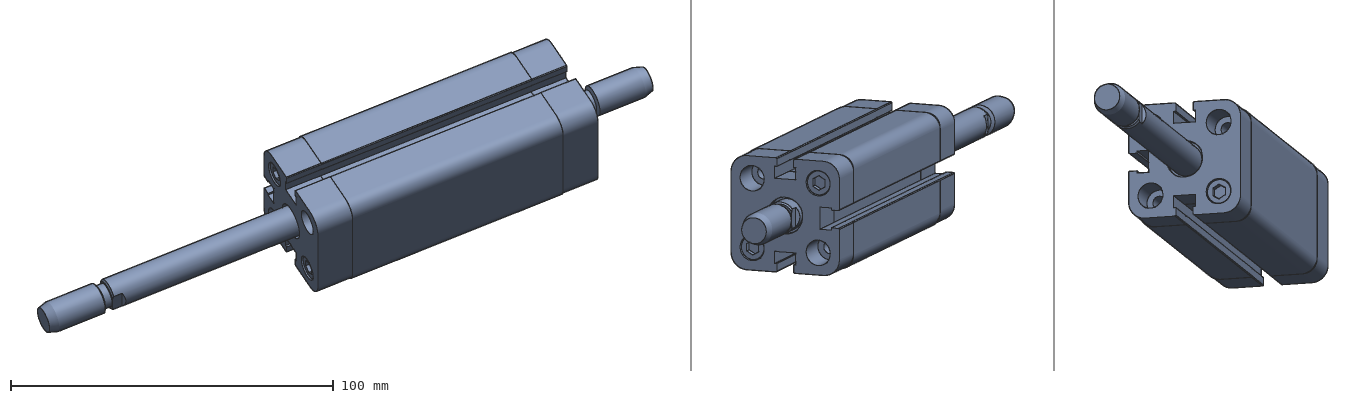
import cadquery as cq
import math


BODY_SIZE = 36.1
BODY_LENGTH = 98.0
CAP_LENGTH = 12.2
CAP_CORNER_RADIUS = 5.3
BARREL_SIZE = 36.0
BARREL_CORNER_RADIUS = 4.5

SLOT_THROAT_WIDTH = 5.6
SLOT_CHAMFER = 0.3
SLOT_INNER_WIDTH = 7.0
SLOT_DEPTH = 6.5
SLOT_LIP = 2.7
SLOT_ANGLES = (0, 90, 180)

HOLE_PITCH = 22.0
COUNTERBORE_DIAMETER = 8.0
COUNTERBORE_DEPTH = 10.0
THROUGH_DIAMETER = 4.13
SCREW_HEAD_DIAMETER = 7.5
SCREW_HEAD_RECESS = 0.5
HEX_ACROSS_FLATS = 4.0
HEX_DEPTH = 2.0

GUIDE_DIAMETER = 11.6
GUIDE_DEPTH = 2.0

ROD_DIAMETER = 10.0
ROD_FRONT_REACH = 86.5
ROD_BACK_REACH = 26.5
TIP_DIAMETER = 8.2
TIP_LENGTH = 3.0
THREAD_LENGTH = 19.0
NECK_DIAMETER = 7.8
NECK_LENGTH = 3.0
NECK_CONE_LENGTH = 0.6
SHOULDER_CHAMFER = 0.5
FLATS_WIDTH = 7.9
FLATS_LENGTH = 3.4
FLATS_RUNOUT = 0.8


def cylinder_y(diameter, start, end, x=0.0, z=0.0):
    """Cylinder along Y between two Y positions."""
    axis_start = cq.Vector(x, start, z)
    return cq.Workplane(
        cq.Solid.makeCylinder(diameter / 2, end - start, axis_start, cq.Vector(0, 1, 0))
    )


def t_slot(size, length, angle):
    """T-slot cutter starting at Y = 0; angle 0 opens upward, 90 toward -X."""
    top = size / 2
    floor = top - SLOT_DEPTH
    lip_bottom = top - SLOT_LIP
    chamfer_bottom = top - SLOT_CHAMFER
    inner_x = SLOT_INNER_WIDTH / 2
    throat_x = SLOT_THROAT_WIDTH / 2
    mouth_x = throat_x + SLOT_CHAMFER
    half_outline = [
        (inner_x, floor),
        (inner_x, lip_bottom),
        (throat_x, lip_bottom),
        (throat_x, chamfer_bottom),
        (mouth_x, top),
    ]
    mirrored = [(-x, z) for x, z in reversed(half_outline)]
    cutter = cq.Workplane("XZ").polyline(half_outline + mirrored).close()
    return cutter.extrude(-length).rotate((0, 0, 0), (0, 1, 0), -angle)


def slotted_block(start, end, size, corner_radius):
    """Square block between two Y positions, with rounded long edges and T-slots."""
    length = end - start
    block = cq.Workplane("XY").box(size, length, size).translate((0, length / 2, 0))
    block = block.edges("|Y").fillet(corner_radius)
    for angle in SLOT_ANGLES:
        block = block.cut(t_slot(size, length, angle))
    return block.translate((0, start, 0))


def make_body():
    barrel_end = BODY_LENGTH - CAP_LENGTH
    body = slotted_block(CAP_LENGTH, barrel_end, BARREL_SIZE, BARREL_CORNER_RADIUS)
    body = body.union(slotted_block(0, CAP_LENGTH, BODY_SIZE, CAP_CORNER_RADIUS))
    body = body.union(slotted_block(barrel_end, BODY_LENGTH, BODY_SIZE, CAP_CORNER_RADIUS))
    guide_back = BODY_LENGTH - GUIDE_DEPTH
    body = body.cut(cylinder_y(GUIDE_DIAMETER, 0, GUIDE_DEPTH))
    return body.cut(cylinder_y(GUIDE_DIAMETER, guide_back, BODY_LENGTH))


def cut_counterbores(body, x, z):
    """Counterbore at both ends of the body."""
    body = body.cut(cylinder_y(COUNTERBORE_DIAMETER, 0, COUNTERBORE_DEPTH, x, z))
    back_seat = BODY_LENGTH - COUNTERBORE_DEPTH
    return body.cut(cylinder_y(COUNTERBORE_DIAMETER, back_seat, BODY_LENGTH, x, z))


def add_screw(body, x, z):
    """Socket head screw in the counterbore at each end."""
    hex_diameter = HEX_ACROSS_FLATS / math.cos(math.pi / 6)
    head = cylinder_y(SCREW_HEAD_DIAMETER, SCREW_HEAD_RECESS, COUNTERBORE_DEPTH, x, z)
    socket_plane = cq.Workplane("XZ", origin=(x, SCREW_HEAD_RECESS, z))
    socket = socket_plane.polygon(6, hex_diameter).extrude(-HEX_DEPTH)
    socket = socket.rotate((x, 0, z), (x, 1, z), 90)
    head = head.cut(socket)
    middle = (0, BODY_LENGTH / 2, 0)
    return body.union(head).union(head.mirror("XZ", middle))


def add_fasteners(body):
    """Through holes on one diagonal, screws on the other."""
    offset = HOLE_PITCH / 2
    for side in (-1, 1):
        x = side * offset
        body = cut_counterbores(body, x, x)
        body = body.cut(cylinder_y(THROUGH_DIAMETER, 0, BODY_LENGTH, x, x))
        body = cut_counterbores(body, x, -x)
        body = add_screw(body, x, -x)
    return body


def half_rod(reach):
    """Part of the rod from the body middle to a tip the given reach before Y = 0."""
    thread_end = -reach + THREAD_LENGTH
    shank_start = thread_end + NECK_LENGTH
    rod_radius = ROD_DIAMETER / 2
    neck_radius = NECK_DIAMETER / 2
    rod = (
        cq.Workplane("XY")
        .moveTo(0, -reach)
        .lineTo(TIP_DIAMETER / 2, -reach)
        .lineTo(rod_radius, -reach + TIP_LENGTH)
        .lineTo(rod_radius, thread_end)
        .lineTo(neck_radius, thread_end + NECK_CONE_LENGTH)
        .lineTo(neck_radius, shank_start)
        .lineTo(rod_radius - SHOULDER_CHAMFER, shank_start)
        .lineTo(rod_radius, shank_start + SHOULDER_CHAMFER)
        .lineTo(rod_radius, BODY_LENGTH / 2)
        .lineTo(0, BODY_LENGTH / 2)
        .close()
        .revolve(360, (0, 0), (0, 1))
    )
    for side in (-1, 1):
        rod = rod.cut(wrench_flat(side, shank_start))
    return rod


def wrench_flat(side, start):
    """Cutter for one flat, with a slanted run-out toward the body."""
    flat_x = side * FLATS_WIDTH / 2
    rod_x = side * ROD_DIAMETER / 2
    flat_end = start + FLATS_LENGTH
    cutter = cq.Workplane("XY").polyline(
        [(flat_x, start), (rod_x, start), (rod_x, flat_end + FLATS_RUNOUT), (flat_x, flat_end)]
    )
    return cutter.close().extrude(ROD_DIAMETER / 2, both=True)


def make_rod():
    middle = (0, BODY_LENGTH / 2, 0)
    return half_rod(ROD_FRONT_REACH).union(half_rod(ROD_BACK_REACH).mirror("XZ", middle))


result = add_fasteners(make_body()).union(make_rod())